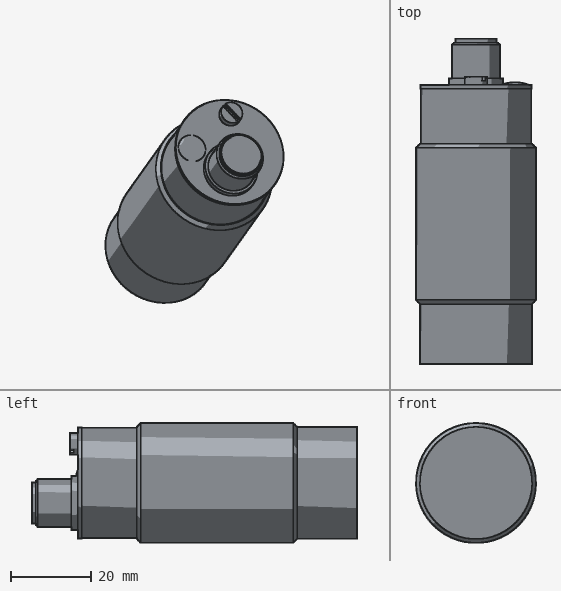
import cadquery as cq

FRONT_DIAMETER = 28.0
GRIP_DIAMETER = 30.0
REAR_DIAMETER = 27.6
CAP_DIAMETER = 27.8
GRIP_START = 15.0
GRIP_END = 55.0
GRIP_CHAMFER = 1.0
CAP_THICKNESS = 1.0
REAR_FACE = 69.7

OVERALL_LENGTH = 81.2
CONNECTOR_Z = -5.0
FLANGE_DIAMETER = 13.5
FLANGE_THICKNESS = 1.6
THREAD_DIAMETER = 12.0
THREAD_CHAMFER = 0.5
TIP_DIAMETER = 10.3
TIP_LENGTH = 1.0

SCREW_DIAMETER = 5.5
SCREW_Z = 9.75
SCREW_HEIGHT = 2.0
SLOT_WIDTH = 1.0
SLOT_DEPTH = 1.0
SLOT_ANGLE = 45.0

LENS_DIAMETER = 7.0
LENS_X = 9.75
LENS_HEIGHT = 0.7


def cylinder_along_y(diameter, y_start, y_end, x=0.0, z=0.0):
    """Solid cylinder from y_start to y_end on an axis parallel to Y."""
    length = y_end - y_start
    base_center = cq.Vector(x, y_start, z)
    axis = cq.Vector(0, 1, 0)
    return cq.Workplane(cq.Solid.makeCylinder(diameter / 2, length, base_center, axis))


def make_barrel():
    front = cylinder_along_y(FRONT_DIAMETER, 0, GRIP_START)
    grip = cylinder_along_y(GRIP_DIAMETER, GRIP_START, GRIP_END).edges().chamfer(GRIP_CHAMFER)
    cap_start = REAR_FACE - CAP_THICKNESS
    rear = cylinder_along_y(REAR_DIAMETER, GRIP_END, cap_start)
    cap = cylinder_along_y(CAP_DIAMETER, cap_start, REAR_FACE)
    return front.union(grip).union(rear).union(cap)


def make_connector():
    flange_end = REAR_FACE + FLANGE_THICKNESS
    thread_end = OVERALL_LENGTH - TIP_LENGTH
    flange = cylinder_along_y(FLANGE_DIAMETER, REAR_FACE, flange_end, z=CONNECTOR_Z)
    thread = cylinder_along_y(THREAD_DIAMETER, flange_end, thread_end, z=CONNECTOR_Z)
    thread = thread.faces(">Y").edges().chamfer(THREAD_CHAMFER)
    tip = cylinder_along_y(TIP_DIAMETER, thread_end, OVERALL_LENGTH, z=CONNECTOR_Z)
    return flange.union(thread).union(tip)


def make_screw():
    top = REAR_FACE + SCREW_HEIGHT
    head = cylinder_along_y(SCREW_DIAMETER, REAR_FACE, top)
    slot = (
        cq.Workplane("XY")
        .box(2 * SCREW_DIAMETER, 2 * SLOT_DEPTH, SLOT_WIDTH)
        .rotate((0, 0, 0), (0, 1, 0), -SLOT_ANGLE)
        .translate((0, top, 0))
    )
    return head.cut(slot).translate((0, 0, SCREW_Z))


def make_lens():
    """Spherical cap that bulges LENS_HEIGHT above the rear face."""
    base_radius = LENS_DIAMETER / 2
    sphere_radius = (base_radius**2 + LENS_HEIGHT**2) / (2 * LENS_HEIGHT)
    sphere_y = REAR_FACE + LENS_HEIGHT - sphere_radius
    sphere = cq.Workplane("XY").sphere(sphere_radius).translate((LENS_X, sphere_y, 0))
    envelope = cylinder_along_y(LENS_DIAMETER, REAR_FACE, REAR_FACE + LENS_HEIGHT, LENS_X)
    return sphere.intersect(envelope)


result = make_barrel().union(make_connector()).union(make_screw()).union(make_lens())